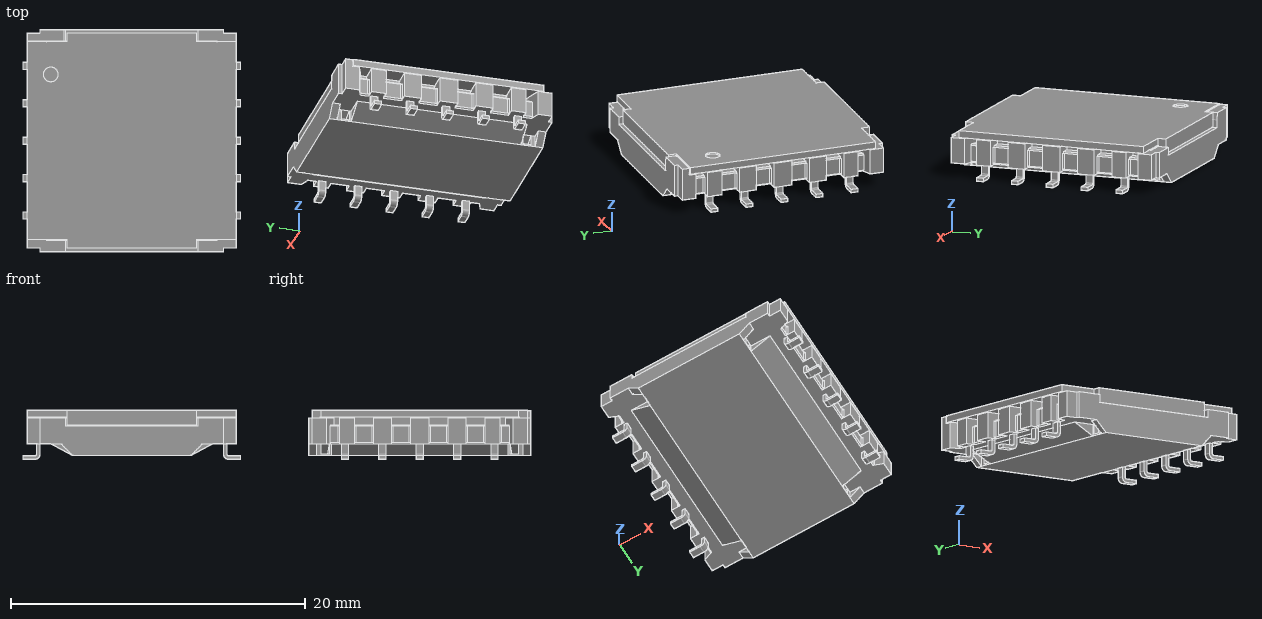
import cadquery as cq

body_half_x = 7.1
body_half_y = 7.55
foot_half_x = 7.4
total_height = 3.35

keel_bottom = 0.25
underside = 1.05
rim_top = 2.82
cover_bottom = 2.87
post_top = 3.31

core_half_x = 5.8
core_half_y = 6.78
corner_notch_x = 6.24
corner_notch_y = 7.3

keel_half_x = 4.0
keel_slope_half_x = 5.5
end_slope_half_x = keel_half_x + underside - keel_bottom
wire_slot_inner_y = 6.0
wire_slot_outer_y = 7.0
pocket_inner_y = 6.14
pocket_outer_y = 6.69
pocket_draft = 0.12
pocket_floor = 0.36

cover_half_y = 6.72
tab_half_x = 4.4
tab_half_y = corner_notch_y
tab_bottom = 2.33
tab_gap = 0.11
tab_floor_gap = 0.05
post_side_slope = 0.09
mark_diameter = 1.0
mark_depth = 0.1
mark_x = -5.5
mark_y = 4.5

middle_bay_start, middle_bay_end = 0.64, 1.92
second_bay_start, second_bay_end = 3.14, 4.42
corner_bay_start, corner_bay_end = 5.46, 6.32
corner_bay_back_end = 5.83
panel_x = 6.5
panel_top = 2.35
panel_bevel = 0.1

pin_pitch = 2.54
pins_per_side = 5
pin_width = 0.5
pin_thickness = 0.25
pin_leg_x = 6.475
pin_inner_radius = 0.1
pin_top = 1.15


def block(x0, x1, y0, y1, z0, z1):
    """Box given by its limits along each axis."""
    return cq.Workplane("XY").box(x1 - x0, y1 - y0, z1 - z0, centered=False).translate((x0, y0, z0))


def centred_block(half_x, half_y, z0, z1):
    return block(-half_x, half_x, -half_y, half_y, z0, z1)


def plan_prism(points, z0, z1):
    """Outline in X and Y, extruded from z0 up to z1."""
    return cq.Workplane("XY").workplane(offset=z0).polyline(points).close().extrude(z1 - z0)


def profile_prism(points, y0, y1):
    """Outline in X and Z, extruded from y0 to y1."""
    return cq.Workplane("XZ", origin=(0, y0, 0)).polyline(points).close().extrude(y0 - y1)


def mirrored_x(shape):
    return shape.union(shape.mirror("YZ"))


def mirrored_y(shape):
    return shape.union(shape.mirror("XZ"))


def mirrored_xy(shape):
    return mirrored_y(mirrored_x(shape))


def keel_section(slope_half_x, y_start, y_end):
    """Stretch of keel with sloped flanks, running from y_start to y_end."""
    return profile_prism(
        [
            (-keel_half_x, keel_bottom),
            (keel_half_x, keel_bottom),
            (slope_half_x, underside),
            (-slope_half_x, underside),
        ],
        y_start,
        y_end,
    )


def make_keel():
    middle = keel_section(keel_slope_half_x, -wire_slot_inner_y, wire_slot_inner_y)
    upright = centred_block(keel_half_x, wire_slot_outer_y, keel_bottom, underside)
    end = keel_section(end_slope_half_x, wire_slot_outer_y, body_half_y)
    return middle.union(upright).union(mirrored_y(end))


def wire_pockets():
    """Pockets in the upright walls of the wire slots: sloped roof and one drafted side."""
    slope_run = keel_slope_half_x - keel_half_x
    slope = slope_run / (underside - keel_bottom)
    deep_x = keel_half_x - slope * (underside - pocket_floor)
    wedge = profile_prism(
        [(keel_half_x, pocket_floor), (keel_half_x, underside), (deep_x, pocket_floor)],
        pocket_inner_y,
        pocket_outer_y,
    )
    plan = plan_prism(
        [
            (keel_half_x, pocket_inner_y),
            (keel_half_x, pocket_outer_y),
            (deep_x, pocket_outer_y),
            (deep_x, pocket_inner_y + pocket_draft),
        ],
        pocket_floor,
        underside,
    )
    return mirrored_xy(wedge.intersect(plan))


def make_body():
    """Rim with stepped corners around a core that carries the cover."""
    body = centred_block(body_half_x, corner_notch_y, underside, rim_top)
    body = body.union(centred_block(corner_notch_x, body_half_y, underside, rim_top))
    return body.union(centred_block(core_half_x, core_half_y, underside, cover_bottom))


def bay_void(start, end, back_end):
    """Space between two teeth on the +X side."""
    return plan_prism(
        [(core_half_x, start), (body_half_x, start), (body_half_x, end), (core_half_x, back_end)],
        underside,
        rim_top,
    )


def bay_panel(start, end):
    """Panel in the lower part of a bay, bevelled along its top and bottom edges."""
    bevel_x = panel_x - panel_bevel
    return profile_prism(
        [
            (core_half_x, underside),
            (bevel_x, underside),
            (panel_x, underside + panel_bevel),
            (panel_x, panel_top - panel_bevel),
            (bevel_x, panel_top),
            (core_half_x, panel_top),
        ],
        start,
        end,
    )


def panel_web(tooth_y, direction):
    """Small wedge in the inside corner between a panel and the tooth face at tooth_y."""
    return plan_prism(
        [
            (panel_x, tooth_y),
            (panel_x + panel_bevel, tooth_y),
            (panel_x, tooth_y + direction * panel_bevel),
        ],
        underside + panel_bevel,
        panel_top - panel_bevel,
    )


def cut_bays(body):
    bays = [
        (middle_bay_start, middle_bay_end, middle_bay_end),
        (second_bay_start, second_bay_end, second_bay_end),
        (corner_bay_start, corner_bay_end, corner_bay_back_end),
    ]
    for start, end, back_end in bays:
        body = body.cut(mirrored_xy(bay_void(start, end, back_end)))
        panel = bay_panel(start, end).union(panel_web(start, 1))
        if back_end == end:
            panel = panel.union(panel_web(end, -1))
        body = body.union(mirrored_xy(panel))
    return body


def key_post():
    """Taller corner block at -X, +Y, stepped like the body and sloped beside the tab."""
    slot_half_x = tab_half_x + tab_gap
    outline = plan_prism(
        [
            (slot_half_x, core_half_y),
            (body_half_x, core_half_y),
            (body_half_x, corner_notch_y),
            (corner_notch_x, corner_notch_y),
            (corner_notch_x, body_half_y),
            (slot_half_x, body_half_y),
        ],
        rim_top,
        post_top,
    )
    side_wedge = profile_prism(
        [
            (slot_half_x, rim_top),
            (slot_half_x + post_side_slope, post_top),
            (slot_half_x, post_top),
        ],
        core_half_y,
        body_half_y,
    )
    return outline.cut(side_wedge).mirror("YZ")


def tab_slots():
    """Openings in both end walls that take the cover tabs."""
    slot_half_x = tab_half_x + tab_gap
    slot_bottom = tab_bottom - tab_floor_gap
    return mirrored_y(block(-slot_half_x, slot_half_x, cover_half_y, body_half_y, slot_bottom, rim_top))


def make_cover():
    """Flat cover with a tab at each end, marked by a round dimple near the key post."""
    cover = centred_block(body_half_x, cover_half_y, cover_bottom, total_height)
    tab = block(-tab_half_x, tab_half_x, cover_half_y, tab_half_y, tab_bottom, total_height)
    cover = cover.union(mirrored_y(tab))
    dimple = cq.Workplane("XY").circle(mark_diameter / 2).extrude(mark_depth)
    return cover.cut(dimple.translate((mark_x, mark_y, total_height - mark_depth)))


def make_pin(y_center):
    """Gull-wing pin on the +X side, bent outwards at the bottom."""
    inner_x = pin_leg_x - pin_thickness
    outer_radius = pin_inner_radius + pin_thickness
    bend_x = pin_leg_x + pin_inner_radius
    bend_z = pin_thickness + pin_inner_radius
    return (
        cq.Workplane("XZ", origin=(0, y_center + pin_width / 2, 0))
        .moveTo(inner_x, pin_top)
        .lineTo(inner_x, outer_radius)
        .radiusArc((bend_x, 0), -outer_radius)
        .lineTo(foot_half_x, 0)
        .lineTo(foot_half_x, pin_thickness)
        .lineTo(bend_x, pin_thickness)
        .radiusArc((pin_leg_x, bend_z), pin_inner_radius)
        .lineTo(pin_leg_x, pin_top)
        .close()
        .extrude(pin_width)
    )


result = cut_bays(make_body())
result = result.union(make_keel()).cut(wire_pockets())
result = result.union(key_post()).cut(tab_slots())
result = result.union(make_cover())
for index in range(pins_per_side):
    pin_y = (index - (pins_per_side - 1) / 2) * pin_pitch
    result = result.union(mirrored_x(make_pin(pin_y)))